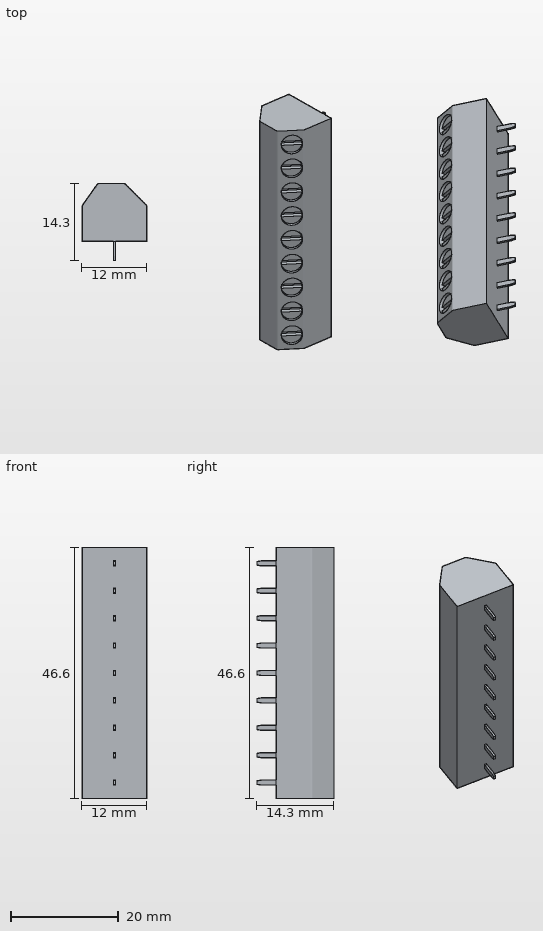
import cadquery as cq

LENGTH = 46.65
WIDTH = 12.0
TOTAL_DEPTH = 14.3
PIN_LENGTH = 3.55
HOUSING_DEPTH = TOTAL_DEPTH - PIN_LENGTH
SHOULDER_DROP = 4.1
SCREW_SHOULDER_RUN = 2.9
PLAIN_SHOULDER_RUN = SHOULDER_DROP
EDGE_RADIUS = 0.5

POLE_COUNT = 9
POLE_PITCH = 5.1

WELL_DIAMETER = 3.95
WELL_DEPTH = 0.6
SLOT_DEPTH = 0.95
SLOT_WIDTH = 0.85
WELL_DROP = 2.25

PIN_THICKNESS = 0.4
PIN_HEIGHT = 1.0
TIP_LENGTH = 0.85
TIP_TAPER = 0.15

BACK_Y = HOUSING_DEPTH
SHOULDER_Y = BACK_Y - SHOULDER_DROP
LEFT_X = -WIDTH / 2
RIGHT_X = WIDTH / 2
pole_heights = [(i - (POLE_COUNT - 1) / 2) * POLE_PITCH for i in range(POLE_COUNT)]


def make_housing():
    outline = [
        (LEFT_X, 0),
        (RIGHT_X, 0),
        (RIGHT_X, SHOULDER_Y),
        (RIGHT_X - PLAIN_SHOULDER_RUN, BACK_Y),
        (LEFT_X + SCREW_SHOULDER_RUN, BACK_Y),
        (LEFT_X, SHOULDER_Y),
    ]
    prism = cq.Workplane("XY").polyline(outline).close().extrude(LENGTH / 2, both=True)
    return prism.edges("|Z").edges("not <Y").fillet(EDGE_RADIUS)


def make_well(height):
    """Round well with a screwdriver slot across its floor."""
    center_x = LEFT_X + SCREW_SHOULDER_RUN * (1 - WELL_DROP / SHOULDER_DROP)
    inward = (SHOULDER_DROP, -SCREW_SHOULDER_RUN, 0)
    along_slope = (SCREW_SHOULDER_RUN, SHOULDER_DROP, 0)
    mouth = cq.Plane(
        origin=(center_x, BACK_Y - WELL_DROP, height), xDir=along_slope, normal=inward
    )
    well = cq.Workplane(mouth).circle(WELL_DIAMETER / 2).extrude(WELL_DEPTH)
    bore = cq.Workplane(mouth).circle(WELL_DIAMETER / 2).extrude(WELL_DEPTH + SLOT_DEPTH)
    bar = cq.Workplane(mouth).rect(WELL_DIAMETER, SLOT_WIDTH).extrude(WELL_DEPTH + SLOT_DEPTH)
    return well.union(bore.intersect(bar))


def make_pin(height):
    """Flat pin with its upper and lower sides tapered at the tip."""
    half_height = PIN_HEIGHT / 2
    tip_half = half_height - TIP_TAPER
    profile = [
        (0, -half_height),
        (0, half_height),
        (TIP_LENGTH - PIN_LENGTH, half_height),
        (-PIN_LENGTH, tip_half),
        (-PIN_LENGTH, -tip_half),
        (TIP_LENGTH - PIN_LENGTH, -half_height),
    ]
    pin = cq.Workplane("YZ").polyline(profile).close().extrude(PIN_THICKNESS / 2, both=True)
    return pin.translate((0, 0, height))


result = make_housing()
for pole_height in pole_heights:
    result = result.cut(make_well(pole_height))
    result = result.union(make_pin(pole_height))